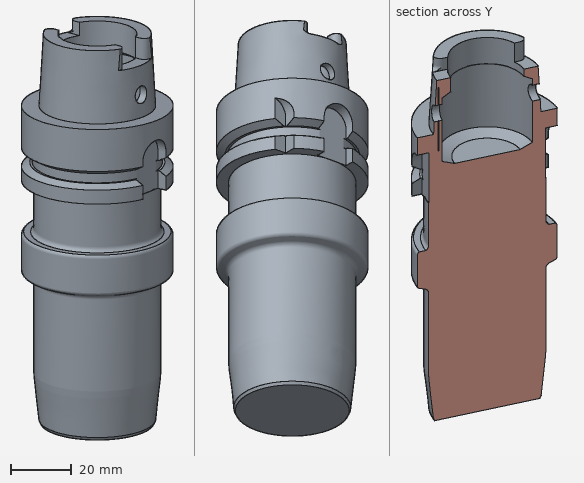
import cadquery as cq
import math

length = 134.9
taper_base_z = 110.0
flange_bottom_z = 84.0

body_radius = 50.0 / 2
shank_radius = 42.0 / 2

nose_end_radius = 18.8
nose_radius = 19.3
nose_chamfer_height = 1.1
nose_top_radius = 41.5 / 2
nose_top_z = 15.1
shank_start_z = 17.5

collar_neck_z = 49.4
collar_bottom_root_z = 51.1
collar_bottom_rim_z = 52.0
collar_bottom_z = 53.0
collar_top_z = 64.9
collar_shoulder_z = 66.1
collar_top_neck_z = 67.7
collar_root_radius = 22.0
collar_rim_radius = 24.3
collar_rim_rounding = 1.5
collar_root_fillet = 1.9

groove_radius = 21.5
groove_lip_radius = 22.3
groove_upper_edge_z = 95.4
groove_upper_z = 93.8
groove_lower_z = 90.2
groove_lower_edge_z = 88.9

taper_base_radius = 38.5 / 2
taper_end_radius = 17.8

bore_radius = 26.0 / 2
bore_mouth_depth = 10.1
recess_radius = 32.1 / 2
recess_cone_angle = 60.0
recess_floor_radius = 11.67
recess_floor_z = 97.1
recess_floor_cone_height = 1.8

keyway_radius = 6.0
keyway_floor_x = 20.84
keyway_arc_z = 97.1
notch_floor_x = 15.5
notch_center_y = 21.25

slot_half_width = 5.3
slot_rounding = 2.3
relief_x = 32.1 / 2
relief_half_width = 10.8
cove_radius = 1.6
left_slot_depth = 4.6
right_slot_depth = 7.3

cross_hole_diameter = 6.0
cross_hole_z = 117.6

outside = body_radius + 1.3


def make_body():
    return (
        cq.Workplane("XZ")
        .lineTo(nose_end_radius, 0)
        .lineTo(nose_radius, nose_chamfer_height)
        .lineTo(nose_top_radius, nose_top_z)
        .lineTo(shank_radius, shank_start_z)
        .lineTo(shank_radius, collar_neck_z)
        .radiusArc((collar_root_radius, collar_bottom_root_z), collar_root_fillet)
        .lineTo(collar_rim_radius, collar_bottom_rim_z)
        .radiusArc((body_radius, collar_bottom_z), -collar_rim_rounding)
        .lineTo(body_radius, collar_top_z)
        .radiusArc((collar_rim_radius, collar_shoulder_z), -collar_rim_rounding)
        .lineTo(collar_root_radius, collar_shoulder_z)
        .radiusArc((shank_radius, collar_top_neck_z), collar_root_fillet)
        .lineTo(shank_radius, flange_bottom_z)
        .lineTo(body_radius, flange_bottom_z)
        .lineTo(body_radius, groove_lower_edge_z)
        .lineTo(groove_lip_radius, groove_lower_z)
        .lineTo(groove_radius, groove_lower_z)
        .lineTo(groove_radius, groove_upper_z)
        .lineTo(groove_lip_radius, groove_upper_z)
        .lineTo(body_radius, groove_upper_edge_z)
        .lineTo(body_radius, taper_base_z)
        .lineTo(taper_base_radius, taper_base_z)
        .lineTo(taper_end_radius, length)
        .lineTo(0, length)
        .close()
        .revolve(360, (0, 0), (0, 1))
    )


def make_bore():
    mouth_z = length - bore_mouth_depth
    cone_height = (recess_radius - bore_radius) / math.tan(math.radians(recess_cone_angle))
    return (
        cq.Workplane("XZ")
        .moveTo(0, recess_floor_z)
        .lineTo(recess_floor_radius, recess_floor_z)
        .lineTo(recess_radius, recess_floor_z + recess_floor_cone_height)
        .lineTo(recess_radius, mouth_z - cone_height)
        .lineTo(bore_radius, mouth_z)
        .lineTo(bore_radius, length)
        .lineTo(0, length)
        .close()
        .revolve(360, (0, 0), (0, 1))
    )


def make_keyway(floor_x, center_y):
    """Round-topped cutter on the -X side, open at the bottom of the flange."""
    return (
        cq.Workplane("YZ", origin=(-outside, 0, 0))
        .moveTo(center_y - keyway_radius, flange_bottom_z)
        .lineTo(center_y - keyway_radius, keyway_arc_z)
        .threePointArc(
            (center_y, keyway_arc_z + keyway_radius),
            (center_y + keyway_radius, keyway_arc_z),
        )
        .lineTo(center_y + keyway_radius, flange_bottom_z)
        .close()
        .extrude(outside - floor_x)
    )


def make_slot(depth):
    """Slot cutter on the +X side; its walls round outwards onto a flat relief of the rim."""
    rounding_end_y = slot_half_width + slot_rounding
    rounding_start_x = relief_x - slot_rounding
    return (
        cq.Workplane("XY", origin=(0, 0, length - depth))
        .moveTo(0, -slot_half_width)
        .lineTo(rounding_start_x, -slot_half_width)
        .radiusArc((relief_x, -rounding_end_y), slot_rounding)
        .lineTo(relief_x, -relief_half_width)
        .lineTo(outside, -relief_half_width)
        .lineTo(outside, relief_half_width)
        .lineTo(relief_x, relief_half_width)
        .lineTo(relief_x, rounding_end_y)
        .radiusArc((rounding_start_x, slot_half_width), slot_rounding)
        .lineTo(0, slot_half_width)
        .close()
        .extrude(depth)
    )


def make_left_slot():
    """Slot cutter on the -X side: a flat floor between the walls and a cove under the relief."""
    coved_slot = make_slot(left_slot_depth).faces("<Z").edges().fillet(cove_radius)
    flat_slot = cq.Workplane("XY", origin=(0, 0, length - left_slot_depth)).box(
        outside, 2 * slot_half_width, left_slot_depth, centered=(False, True, False)
    )
    return coved_slot.union(flat_slot).mirror("YZ")


keyway = make_keyway(keyway_floor_x, 0)
cross_hole = (
    cq.Workplane("YZ", origin=(-outside, 0, cross_hole_z))
    .circle(cross_hole_diameter / 2)
    .extrude(2 * outside)
)

result = (
    make_body()
    .cut(make_bore())
    .cut(keyway)
    .cut(keyway.mirror("YZ"))
    .cut(make_keyway(notch_floor_x, notch_center_y))
    .cut(make_left_slot())
    .cut(make_slot(right_slot_depth))
    .cut(cross_hole)
)